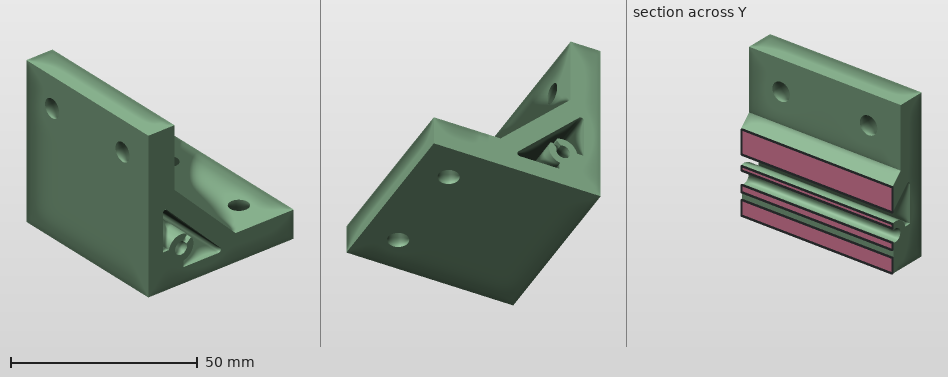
import cadquery as cq
import math

width = 52.0
leg_length = 50.0
plate_thickness = 9.0
brace_start = 30.0

cavity_wall = 5.0
cavity_reach = 31.15
cavity_corner_radius = 0.85
cavity_tip = cavity_reach - cavity_wall

block_size = 12.1
socket_center = 11.25
socket_outer_radius = 4.25
socket_inner_radius = 2.1
slot_width = 1.8
slot_lip_radius = 0.5

hole_diameter = 6.0
hole_spacing = 30.0
hole_end_distance = 10.0


def extrude_across(profile):
    """Extrude a YZ profile over the full bracket width."""
    return profile.extrude(width)


def make_bracket():
    return extrude_across(
        cq.Workplane("YZ").polyline([
            (0, 0),
            (leg_length, 0),
            (leg_length, plate_thickness),
            (brace_start, plate_thickness),
            (plate_thickness, brace_start),
            (plate_thickness, leg_length),
            (0, leg_length),
        ]).close()
    )


def make_cavity():
    triangle = extrude_across(
        cq.Workplane("YZ").polyline([
            (cavity_wall, cavity_wall),
            (cavity_tip, cavity_wall),
            (cavity_wall, cavity_tip),
        ]).close()
    )
    acute_edges = triangle.edges("|X").edges(">Y or >Z")
    return acute_edges.fillet(cavity_corner_radius)


def make_socket():
    """Block and round socket, with a bore opened by a slot facing the brace."""
    block = extrude_across(cq.Workplane("YZ").rect(block_size, block_size, centered=False))
    axis_plane = cq.Workplane("YZ").center(socket_center, socket_center)
    ring = extrude_across(axis_plane.circle(socket_outer_radius))
    bore = extrude_across(axis_plane.circle(socket_inner_radius))
    slot_length = 2 * socket_outer_radius
    slot = extrude_across(
        axis_plane.transformed(rotate=(0, 0, 45))
        .center(slot_length / 2, 0)
        .rect(slot_length, slot_width)
    )
    socket = block.union(ring).cut(bore).cut(slot)

    half_slot = slot_width / 2
    lip_distance = math.sqrt(socket_outer_radius**2 - half_slot**2)
    for side in (-1, 1):
        lip_y = socket_center + (lip_distance - side * half_slot) / math.sqrt(2)
        lip_z = socket_center + (lip_distance + side * half_slot) / math.sqrt(2)
        lip_edge = cq.selectors.NearestToPointSelector((width / 2, lip_y, lip_z))
        socket = socket.edges("|X").edges(lip_edge).fillet(slot_lip_radius)
    return socket


def make_bolt_holes():
    hole_offset = leg_length - hole_end_distance
    hole_positions = [
        ((width - hole_spacing) / 2, hole_offset),
        ((width + hole_spacing) / 2, hole_offset),
    ]
    base_holes = (
        cq.Workplane("XY").pushPoints(hole_positions)
        .circle(hole_diameter / 2).extrude(plate_thickness)
    )
    wall_holes = (
        cq.Workplane("XZ").pushPoints(hole_positions)
        .circle(hole_diameter / 2).extrude(-plate_thickness)
    )
    return base_holes.union(wall_holes)


cavity = make_cavity().cut(make_socket())
result = make_bracket().cut(cavity).cut(make_bolt_holes())